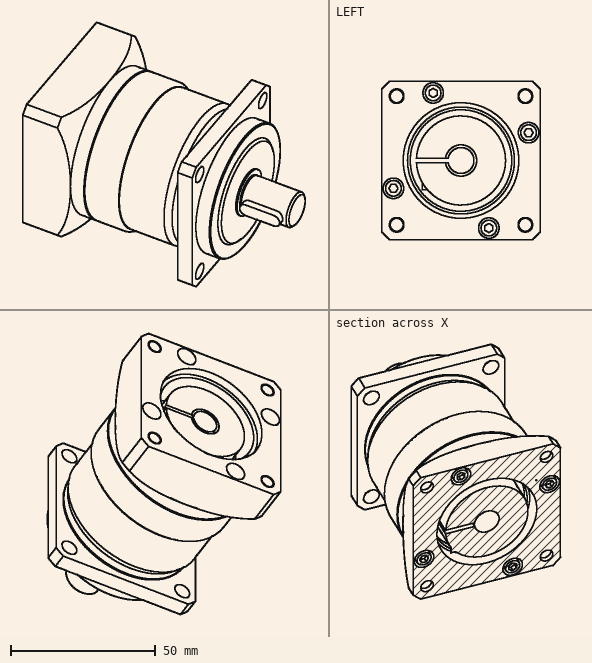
import cadquery as cq
import math

total_length = 93.5
square_side = 55.0
rim_depth = 0.1
corner_radius = 36.9
bolt_offset = 22.25

input_edge_x = 13.8
input_end_x = 19.0
dome_mid_x = 17.0
dome_mid_radius = 32.3
input_hole_radius = 2.2
input_hole_rim_radius = 2.5
input_hole_depth = 11.2

collar_radius = square_side / 2
joint_x = 24.4
joint_width = 0.3
joint_depth = 0.3
collar_end_x = 37.2
collar_fillet = 1.1
body_radius = 26.2
body_end_x = 55.35
neck_radius = 25.0
neck_start_x = 57.9
neck_end_x = 61.0
relief_radius = 24.8

output_start_x = 61.5
output_end_x = 67.3
output_hole_radius = 2.9
pilot_radius = 25.0
pilot_end_x = 73.0
pilot_chamfer = 0.4
cover_radius = 19.5
cover_end_x = 74.0
cover_chamfer = 0.8
seal_radius = 8.6
seal_end_x = 74.5

shaft_radius = 6.5
shaft_chamfer = 0.75
shoulder_radius = 6.6
shoulder_end_x = 75.0
key_start_x = 75.55
key_length = 15.9
key_width = 4.9
key_top = 8.7

recess_radius = 20.0
recess_depth = 3.2
cavity_radius = 18.5
cavity_depth = 15.9
inner_cavity_radius = 17.6
inner_cavity_depth = 18.7
hub_radius = 15.4
hub_face_x = 4.2
bore_radius = 4.5
bore_rim_radius = 5.4
slot_width = 1.4

clamp_head_radius = 4.5
clamp_head_y = 9.0
clamp_head_bottom = -10.1
clamp_head_top = -4.9

screw_count = 4
first_screw_y = 9.6
first_screw_z = 23.4
screw_circle_radius = math.hypot(first_screw_y, first_screw_z)
screw_first_angle = math.degrees(math.atan2(first_screw_z, first_screw_y))
screw_hole_radius = 3.55
screw_hole_depth = 13.1
screw_head_radius = 2.7
screw_head_height = 3.7
socket_sides = 6
socket_flats = 2.7
socket_depth = 1.9


def disc(radius, start_x, end_x, y=0.0):
    """Cylinder along X between two stations."""
    return cq.Workplane("YZ", origin=(start_x, y, 0)).circle(radius).extrude(end_x - start_x)


def square_plate(start_x, end_x):
    """Square flange whose corners are turned to the corner radius."""
    plane = cq.Workplane("YZ", origin=(start_x, 0, 0))
    plate = plane.rect(square_side, square_side).extrude(end_x - start_x)
    return plate.intersect(disc(corner_radius, start_x, end_x))


def corner_holes(radius, start_x, end_x):
    """Four bolt holes on the flange corners."""
    plane = cq.Workplane("YZ", origin=(start_x, 0, 0))
    centres = plane.rect(2 * bolt_offset, 2 * bolt_offset, forConstruction=True).vertices()
    return centres.circle(radius).extrude(end_x - start_x)


def input_flange():
    """Square flange with a domed back, with blind holes at the corners."""
    dome = (
        cq.Workplane("XY")
        .lineTo(0, corner_radius)
        .lineTo(input_edge_x, corner_radius)
        .threePointArc((dome_mid_x, dome_mid_radius), (input_end_x, collar_radius))
        .lineTo(input_end_x, 0)
        .close()
        .revolve(360, (0, 0, 0), (1, 0, 0))
    )
    flange = square_plate(0, input_end_x).intersect(dome)
    flange = flange.cut(corner_holes(input_hole_radius, 0, input_hole_depth))
    return flange.cut(corner_holes(input_hole_rim_radius, 0, rim_depth))


def housing():
    """Turned body from the collar to the shaft end."""
    rear_profile = [
        (input_edge_x, 0),
        (input_edge_x, collar_radius),
        (joint_x - joint_width / 2, collar_radius),
        (joint_x - joint_width / 2, collar_radius - joint_depth),
        (joint_x + joint_width / 2, collar_radius - joint_depth),
        (joint_x + joint_width / 2, collar_radius),
        (collar_end_x - collar_fillet, collar_radius),
    ]
    front_profile = [
        (collar_end_x, body_radius - joint_depth),
        (collar_end_x + joint_width, body_radius - joint_depth),
        (collar_end_x + joint_width, body_radius),
        (body_end_x, body_radius),
        (neck_start_x, neck_radius),
        (neck_end_x, neck_radius),
        (neck_end_x, relief_radius),
        (output_start_x, relief_radius),
        (output_start_x, pilot_radius),
        (pilot_end_x - pilot_chamfer, pilot_radius),
        (pilot_end_x, pilot_radius - pilot_chamfer),
        (pilot_end_x, cover_radius),
        (cover_end_x, cover_radius - cover_chamfer),
        (cover_end_x, seal_radius),
        (seal_end_x, seal_radius),
        (seal_end_x, shoulder_radius),
        (shoulder_end_x, shoulder_radius),
        (shoulder_end_x, shaft_radius),
        (total_length - shaft_chamfer, shaft_radius),
        (total_length, shaft_radius - shaft_chamfer),
        (total_length, 0),
    ]
    collar_corner = (collar_end_x, collar_radius - collar_fillet)
    outline = cq.Workplane("XY").polyline(rear_profile).radiusArc(collar_corner, collar_fillet)
    for point in front_profile:
        outline = outline.lineTo(*point)
    return outline.close().revolve(360, (0, 0, 0), (1, 0, 0))


def output_flange():
    """Square mounting flange with four through holes."""
    plate = square_plate(output_start_x, output_end_x)
    return plate.cut(corner_holes(output_hole_radius, output_start_x, output_end_x))


def shaft_key():
    """Round-ended key standing out of the shaft on the -Y side."""
    return (
        cq.Workplane("XZ", origin=(key_start_x + key_length / 2, 0, 0))
        .slot2D(key_length, key_width)
        .extrude(key_top)
    )


def motor_recess():
    """Stepped round recess in the input face."""
    recess = disc(recess_radius, 0, recess_depth)
    recess = recess.union(disc(cavity_radius, 0, cavity_depth))
    return recess.union(disc(inner_cavity_radius, 0, inner_cavity_depth))


def clamp_hub():
    """Split clamp hub with a rimmed bore and its clamp screw head."""
    length = inner_cavity_depth - hub_face_x
    hub = disc(hub_radius, hub_face_x, inner_cavity_depth)
    head_plane = cq.Workplane("XY", origin=(hub_face_x + clamp_head_radius, clamp_head_y, clamp_head_bottom))
    head = head_plane.circle(clamp_head_radius).extrude(clamp_head_top - clamp_head_bottom)
    slot = cq.Workplane("XY").box(length, hub_radius, slot_width, centered=(False, False, True))
    hub = hub.union(head).cut(disc(bore_radius, hub_face_x, inner_cavity_depth))
    hub = hub.cut(disc(bore_rim_radius, hub_face_x, hub_face_x + rim_depth))
    return hub.cut(slot.translate((hub_face_x, 0, 0)))


def screw_pattern(shape):
    """Copies of a shape placed at angle zero, spread over the screw circle."""
    pattern = cq.Workplane("YZ")
    for index in range(screw_count):
        angle = screw_first_angle + index * 360 / screw_count
        pattern = pattern.add(shape.rotate((0, 0, 0), (1, 0, 0), angle))
    return pattern.combine()


def screw_hole():
    """Counterbore for one housing screw."""
    return disc(screw_hole_radius, 0, screw_hole_depth, y=screw_circle_radius)


def screw_head():
    """Cap screw head with a hexagon socket."""
    top_x = screw_hole_depth - screw_head_height
    head = disc(screw_head_radius, top_x, screw_hole_depth, y=screw_circle_radius)
    socket = (
        cq.Workplane("YZ", origin=(top_x, screw_circle_radius, 0))
        .transformed(rotate=(0, 0, -screw_first_angle))
        .polygon(socket_sides, socket_flats, circumscribed=True)
        .extrude(socket_depth)
    )
    return head.cut(socket)


result = (
    input_flange()
    .union(housing())
    .union(output_flange())
    .union(shaft_key())
    .cut(motor_recess())
    .union(clamp_hub())
    .cut(screw_pattern(screw_hole()))
    .union(screw_pattern(screw_head()))
)